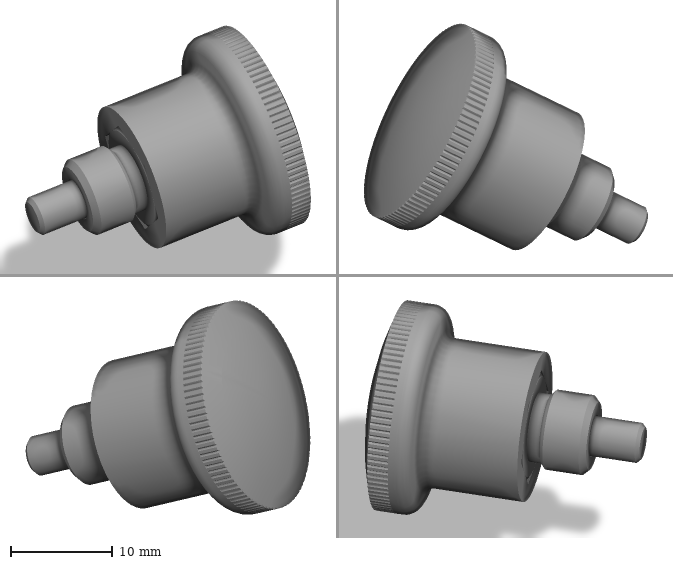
import cadquery as cq
import math


total_length = 27.42
knob_radius = 10.5
rim_top_y = 25.5
knurl_bottom_y = 23.42
rim_fillet_radius = 1.45
underside_angle = 15.0
underside_start_y = 22.75
neck_fillet_radius = 0.95
barrel_diameter = 15.0
barrel_bottom_y = 11.0

groove_count = 100
groove_width = 0.33
groove_depth = groove_width / 2

pin_radius = 2.0
pin_chamfer = 0.38

thread_radius = 4.0
thread_bottom_y = 5.0
thread_chamfer = 0.6
neck_radius = 3.45
thread_shoulder_y = 9.75
thread_top_chamfer = 0.5
hex_sides = 6
hex_across_flats = 10.0
hex_depth = 5.0
hex_chamfer_angle = 30.0
pin_hole_radius = 2.1

barrel_radius = barrel_diameter / 2
hex_across_corners = hex_across_flats / math.cos(math.pi / hex_sides)
hex_top_y = barrel_bottom_y + hex_depth


def revolve_about_y(profile):
    return profile.close().revolve(360, (0, 0), (0, 1))


def cylinder(radius, start_y, end_y):
    return cq.Workplane("XZ", origin=(0, start_y, 0)).circle(radius).extrude(start_y - end_y)


def hexagon_prism():
    return (
        cq.Workplane("XZ", origin=(0, barrel_bottom_y, 0))
        .polygon(hex_sides, hex_across_corners)
        .extrude(-hex_depth)
    )


def hexagon_head():
    """Hexagon whose outer corners are cut by a cone that just touches the flats."""
    flat_radius = hex_across_flats / 2
    blank_radius = hex_across_corners
    cone_rise = (blank_radius - flat_radius) * math.tan(math.radians(hex_chamfer_angle))
    blank = revolve_about_y(
        cq.Workplane("XY")
        .moveTo(0, barrel_bottom_y)
        .lineTo(flat_radius, barrel_bottom_y)
        .lineTo(blank_radius, barrel_bottom_y + cone_rise)
        .lineTo(blank_radius, hex_top_y)
        .lineTo(0, hex_top_y)
    )
    return hexagon_prism().intersect(blank)


def knob_blank():
    """Turned shape of the knob: barrel, flared underside, rim and dome."""
    sine = math.sin(math.radians(underside_angle))
    cosine = math.cos(math.radians(underside_angle))
    half_turn = math.radians((90 - underside_angle) / 2)

    rim_center_x = knob_radius - rim_fillet_radius
    rim_tangent = (
        rim_center_x + rim_fillet_radius * sine,
        underside_start_y - rim_fillet_radius * cosine,
    )
    rim_middle = (
        rim_center_x + rim_fillet_radius * math.cos(half_turn),
        underside_start_y - rim_fillet_radius * math.sin(half_turn),
    )

    neck_center_x = barrel_radius + neck_fillet_radius
    neck_tangent_x = neck_center_x - neck_fillet_radius * sine
    neck_tangent_y = rim_tangent[1] - (rim_tangent[0] - neck_tangent_x) * sine / cosine
    neck_center_y = neck_tangent_y - neck_fillet_radius * cosine
    neck_middle = (
        neck_center_x - neck_fillet_radius * math.cos(half_turn),
        neck_center_y + neck_fillet_radius * math.sin(half_turn),
    )

    dome_height = total_length - rim_top_y
    dome_radius = (knob_radius**2 + dome_height**2) / (2 * dome_height)
    dome_middle_x = knob_radius / 2
    dome_middle_y = total_length - dome_radius + math.sqrt(dome_radius**2 - dome_middle_x**2)

    return revolve_about_y(
        cq.Workplane("XY")
        .moveTo(0, barrel_bottom_y)
        .lineTo(barrel_radius, barrel_bottom_y)
        .lineTo(barrel_radius, neck_center_y)
        .threePointArc(neck_middle, (neck_tangent_x, neck_tangent_y))
        .lineTo(*rim_tangent)
        .threePointArc(rim_middle, (knob_radius, underside_start_y))
        .lineTo(knob_radius, rim_top_y)
        .threePointArc((dome_middle_x, dome_middle_y), (0, total_length))
    )


def knurl_grooves():
    """V groove cutters around the rim, open towards the dome."""
    mouth_scale = 2
    bottom_radius = knob_radius - groove_depth
    mouth_radius = bottom_radius + mouth_scale * groove_depth
    mouth_half_width = mouth_scale * groove_width / 2
    groove = (
        cq.Workplane("XZ", origin=(0, knurl_bottom_y, 0))
        .moveTo(bottom_radius, 0)
        .lineTo(mouth_radius, mouth_half_width)
        .lineTo(mouth_radius, -mouth_half_width)
        .close()
        .extrude(knurl_bottom_y - total_length)
        .val()
    )
    pitch_angle = 360 / groove_count
    return [groove.rotate((0, 0, 0), (0, 1, 0), i * pitch_angle) for i in range(groove_count)]


def make_knob():
    """Knob with its pin, which runs through the insert and ends in a chamfered tip."""
    pin = cylinder(pin_radius, 0, hex_top_y).faces("<Y").chamfer(pin_chamfer)
    blank = knob_blank().cut(hexagon_prism()).val()
    return cq.Workplane(blank.cut(*knurl_grooves())).union(pin)


def make_insert():
    """Hexagon head, neck and chamfered thread, bored to clear the pin."""
    shank = revolve_about_y(
        cq.Workplane("XY")
        .moveTo(0, thread_bottom_y)
        .lineTo(thread_radius - thread_chamfer, thread_bottom_y)
        .lineTo(thread_radius, thread_bottom_y + thread_chamfer)
        .lineTo(thread_radius, thread_shoulder_y - thread_top_chamfer)
        .lineTo(neck_radius, thread_shoulder_y)
        .lineTo(neck_radius, barrel_bottom_y)
        .lineTo(0, barrel_bottom_y)
    )
    bore = cylinder(pin_hole_radius, thread_bottom_y, hex_top_y)
    return hexagon_head().union(shank).cut(bore)


knob = make_knob()
insert = make_insert()

result = cq.Compound.makeCompound([knob.val(), insert.val()])